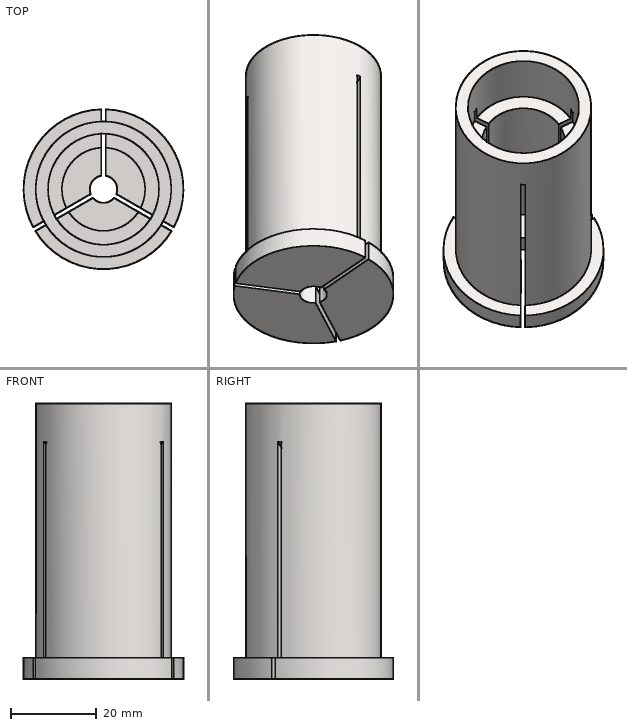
import cadquery as cq
import math

total_height = 64.6
flange_diameter = 37.5
flange_height = 5.0
sleeve_diameter = 31.75

upper_bore_diameter = 26.0
upper_bore_depth = 15.0
lower_bore_diameter = 19.5
floor_thickness = flange_height
through_hole_diameter = 6.35

slot_count = 3
slot_width = 1.0
first_slot_angle = 90.0
slot_to_top = 9.0
slot_end_slope = 39.0

ledge_height = total_height - upper_bore_depth
slot_height = total_height - slot_to_top
slot_spacing = 360.0 / slot_count


def cylinder(diameter, bottom, top):
    """Vertical cylinder on the Z axis between two heights."""
    return cq.Workplane("XY").workplane(offset=bottom).circle(diameter / 2).extrude(top - bottom)


def make_body():
    """Sleeve standing on a wider flange."""
    flange = cylinder(flange_diameter, 0, flange_height)
    sleeve = cylinder(sleeve_diameter, 0, total_height)
    return flange.union(sleeve)


def make_bore():
    """Upper bore, narrower lower bore and the hole through the floor."""
    upper_bore = cylinder(upper_bore_diameter, ledge_height, total_height)
    lower_bore = cylinder(lower_bore_diameter, floor_thickness, total_height)
    through_hole = cylinder(through_hole_diameter, 0, total_height)
    return upper_bore.union(lower_bore).union(through_hole)


def make_slot(angle):
    """Radial slot from the axis outward, open at the bottom, its end sloping down toward the axis."""
    outer_radius = flange_diameter / 2
    slope = math.tan(math.radians(slot_end_slope))
    height_at_axis = slot_height - slope * sleeve_diameter / 2
    height_at_rim = height_at_axis + slope * outer_radius
    side_outline = [
        (0, 0),
        (outer_radius, 0),
        (outer_radius, height_at_rim),
        (0, height_at_axis),
    ]
    slot = cq.Workplane("XZ").polyline(side_outline).close().extrude(slot_width / 2, both=True)
    return slot.rotate((0, 0, 0), (0, 0, 1), angle)


result = make_body().cut(make_bore())
for index in range(slot_count):
    result = result.cut(make_slot(first_slot_angle + index * slot_spacing))